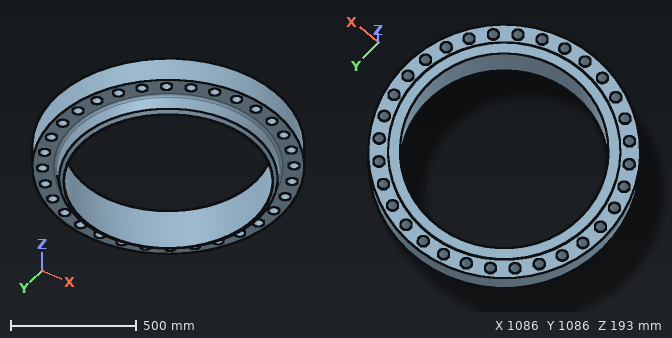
import cadquery as cq
import math

overall_height = 193.0
flange_diameter = 1086
flange_thickness = 112.0
raised_face_diameter = 927.0
raised_face_height = 7.0
bore_diameter = 832.0

hub_base_diameter = 896.0
hub_end_diameter = 872.0
hub_fillet_radius = 12.0
bevel_height = 14.0
weld_land_width = 2.0

bolt_hole_count = 32
bolt_circle_diameter = 1003.0
bolt_hole_diameter = 45.0

flange_radius = flange_diameter / 2
raised_face_radius = raised_face_diameter / 2
bore_radius = bore_diameter / 2
hub_base_radius = hub_base_diameter / 2
hub_end_radius = hub_end_diameter / 2
weld_land_radius = bore_radius + weld_land_width
flange_top = overall_height - raised_face_height
flange_bottom = flange_top - flange_thickness


def hub_fillet_points():
    """Start, middle and end of the arc joining the hub cone to the flange underside."""
    taper = math.atan2(hub_base_radius - hub_end_radius, flange_bottom - bevel_height)
    tangent_length = hub_fillet_radius * math.tan(math.pi / 4 - taper / 2)
    start = (
        hub_base_radius - tangent_length * math.sin(taper),
        flange_bottom - tangent_length * math.cos(taper),
    )
    end = (hub_base_radius + tangent_length, flange_bottom)
    center_z = flange_bottom - hub_fillet_radius
    middle_angle = math.pi * 3 / 4 - taper / 2
    middle = (
        end[0] + hub_fillet_radius * math.cos(middle_angle),
        center_z + hub_fillet_radius * math.sin(middle_angle),
    )
    return start, middle, end


def make_body():
    """Revolve the half section of the flange, raised face and hub about Z."""
    fillet_start, fillet_middle, fillet_end = hub_fillet_points()
    return (
        cq.Workplane("XZ")
        .moveTo(bore_radius, 0)
        .lineTo(weld_land_radius, 0)
        .lineTo(hub_end_radius, bevel_height)
        .lineTo(*fillet_start)
        .threePointArc(fillet_middle, fillet_end)
        .lineTo(flange_radius, flange_bottom)
        .lineTo(flange_radius, flange_top)
        .lineTo(raised_face_radius, flange_top)
        .lineTo(raised_face_radius, overall_height)
        .lineTo(bore_radius, overall_height)
        .close()
        .revolve(360, (0, 0, 0), (0, 1, 0))
    )


def make_bolt_holes():
    """Cylinders through the flange, with one on the X axis."""
    return (
        cq.Workplane("XY", origin=(0, 0, flange_bottom))
        .polarArray(bolt_circle_diameter / 2, 0, 360, bolt_hole_count)
        .circle(bolt_hole_diameter / 2)
        .extrude(flange_thickness)
    )


result = make_body().cut(make_bolt_holes())